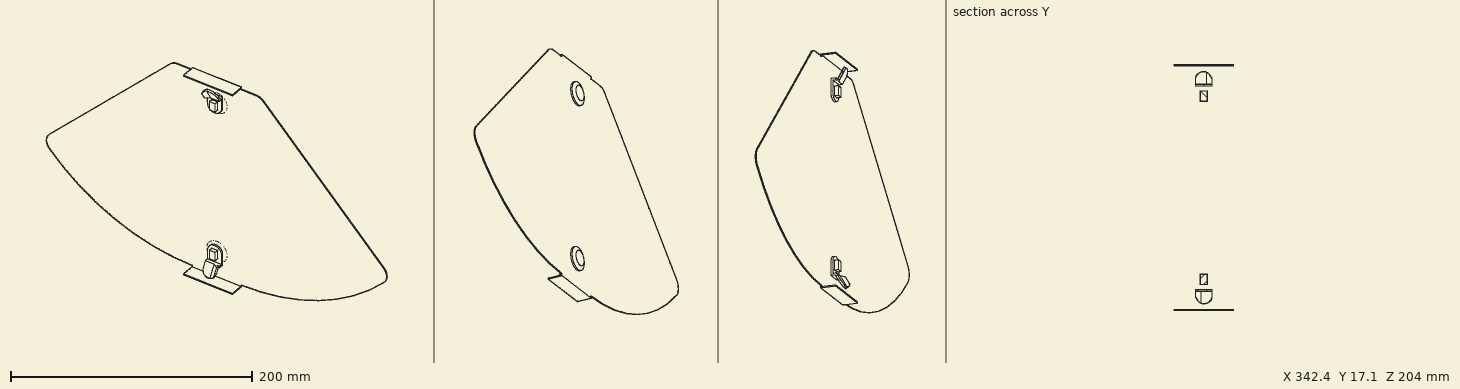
import cadquery as cq
import math

sheet = 1.0
overall_height = 204.0
plate_top = 100.0
flange_width = 49.3
flange_depth = 13.5
arc_radius = 199.3
side_line_sum = 143.8
corner_radius = 10.3

pivot_height = 76.0
rim_diameter = 20.5
rim_height = 1.5
button_top_diameter = 13.5
head_height = 3.0
post_width = 5.8
post_height = 8.5
post_end = 7.2

strip = 1.7
handle_width = 14.0
handle_gap = 1.0
web_drop = 8.2
shelf_height = 10.0
shelf_end = 7.0
tab_angle = 60
tab_length = 13.0
fold_offset = 1.7
fold_angle = 30
wing_width = 5.0

handle_radius = handle_width / 2
web_back = -sheet - handle_gap


def prism_to_front(outline, y_start, depth):
    """Extrude an XZ outline toward -Y, starting at y_start."""
    return outline.extrude(depth).translate((0, y_start, 0))


def make_post():
    """Rectangular post about the pivot; also the cutter for the holes it passes through."""
    outline = cq.Workplane("XZ").rect(post_width, post_height)
    return prism_to_front(outline, 0, post_end)


def make_plate():
    """Rounded sector with two flanges and a hole for each latch post."""
    half_flat = flange_width / 2
    arc_center_z = arc_radius - plate_top
    center_to_side = (side_line_sum - half_flat - arc_center_z) / math.sqrt(2)
    along_side = math.sqrt(arc_radius**2 - center_to_side**2)
    corner_x = half_flat + (center_to_side + along_side) / math.sqrt(2)
    corner_z = side_line_sum - corner_x
    top_x = side_line_sum - plate_top
    arc_span = math.acos((arc_center_z - corner_z) / arc_radius)
    middle = arc_span / 2
    arc_x = half_flat + arc_radius * math.sin(middle)
    arc_z = arc_center_z - arc_radius * math.cos(middle)

    plate = (
        cq.Workplane("XZ")
        .moveTo(-top_x, plate_top)
        .lineTo(top_x, plate_top)
        .lineTo(corner_x, corner_z)
        .threePointArc((arc_x, arc_z), (half_flat, -plate_top))
        .lineTo(-half_flat, -plate_top)
        .threePointArc((-arc_x, arc_z), (-corner_x, corner_z))
        .close()
        .extrude(sheet)
    )
    for side in (-1, 1):
        for x, z in ((top_x, plate_top), (corner_x, corner_z)):
            corner = cq.selectors.NearestToPointSelector((side * x, -sheet / 2, z))
            plate = plate.edges(corner).fillet(corner_radius)

    band = cq.Workplane("XY").box(flange_width, sheet, overall_height).translate((0, -sheet / 2, 0))
    plate = plate.union(band)
    flange_z = (overall_height - sheet) / 2
    for side in (-1, 1):
        flange = cq.Workplane("XY").box(flange_width, flange_depth, sheet)
        plate = plate.union(flange.translate((0, -flange_depth / 2, side * flange_z)))
        plate = plate.cut(make_post().translate((0, 0, side * pivot_height)))
    return plate


def make_button():
    """Round head with a tapered rear end, on the rear face of the plate, and its post."""
    rim = cq.Workplane("XZ").circle(rim_diameter / 2).extrude(-rim_height)
    button = (
        rim.faces(">Y")
        .workplane()
        .circle(rim_diameter / 2)
        .workplane(offset=head_height - rim_height)
        .circle(button_top_diameter / 2)
        .loft(combine=True)
    )
    return button.union(make_post())


def make_tab():
    """Finger tab with its wing folded forward, cut level with the underside of the shelf."""
    shelf_bottom = shelf_height - strip
    tilt = math.radians(tab_angle)
    tab_plane = cq.Plane(
        origin=(0, -shelf_end, shelf_bottom),
        xDir=(1, 0, 0),
        normal=(0, -math.sin(tilt), -math.cos(tilt)),
    )
    fold = math.radians(fold_angle)
    wing_x = -fold_offset - wing_width * math.cos(fold)
    wing_z = wing_width * math.sin(fold)
    section = (
        cq.Workplane("XZ")
        .polyline(
            [
                (handle_radius, 0),
                (-fold_offset, 0),
                (wing_x, wing_z),
                (wing_x - strip * math.sin(fold), wing_z - strip * math.cos(fold)),
                (-fold_offset - strip * math.tan(fold / 2), -strip),
                (handle_radius, -strip),
            ]
        )
        .close()
        .extrude(tab_length, both=True)
    )
    outline = (
        cq.Workplane("XY")
        .moveTo(-handle_radius, -tab_length)
        .lineTo(handle_radius, -tab_length)
        .lineTo(handle_radius, tab_length - handle_radius)
        .threePointArc((0, tab_length), (-handle_radius, tab_length - handle_radius))
        .close()
        .extrude(handle_width, both=True)
    )
    tab = cq.Workplane(section.intersect(outline).val().moved(cq.Location(tab_plane)))
    above_shelf_bottom = (
        cq.Workplane("XY", origin=(0, -shelf_end, shelf_bottom))
        .rect(2 * handle_width, 4 * tab_length)
        .extrude(2 * tab_length)
    )
    return tab.intersect(above_shelf_bottom)


def make_handle():
    """Round-ended web in front of the plate, shelf and finger tab bent from one strip."""
    web_outline = (
        cq.Workplane("XZ")
        .moveTo(-handle_radius, shelf_height)
        .lineTo(-handle_radius, handle_radius - web_drop)
        .threePointArc((0, -web_drop), (handle_radius, handle_radius - web_drop))
        .lineTo(handle_radius, shelf_height)
        .close()
    )
    web = prism_to_front(web_outline, web_back, strip)
    shelf = (
        cq.Workplane("XY")
        .box(handle_width, shelf_end + web_back, strip)
        .translate((0, (web_back - shelf_end) / 2, shelf_height - strip / 2))
    )
    return web.union(shelf).union(make_tab()).cut(make_post())


plate = make_plate()
buttons = []
handles = []
for turn in (0, 180):
    for group, body in ((buttons, make_button()), (handles, make_handle())):
        group.append(body.translate((0, 0, pivot_height)).rotate((0, 0, 0), (0, 1, 0), turn).val())

result = cq.Compound.makeCompound([plate.val(), *buttons, *handles])